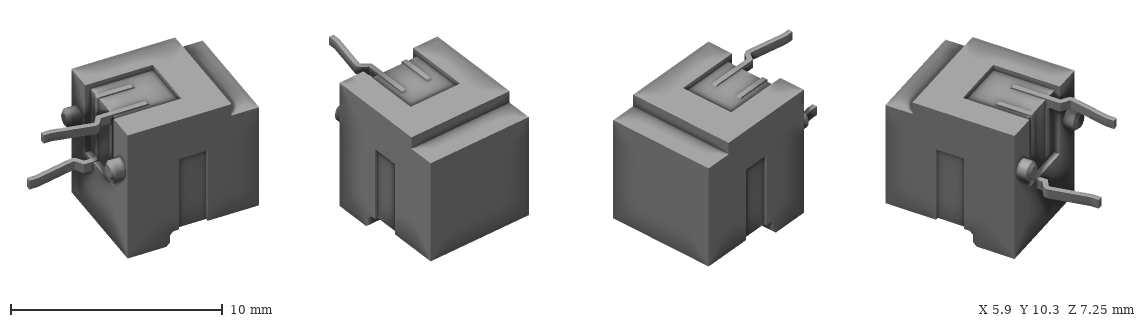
import cadquery as cq
import math


body_width = 5.9
body_height = 7.25
overall_length = 10.35
lead_reach = 3.39
body_length = overall_length - lead_reach
rear_step_length = 1.46
rear_step_drop = 0.67
foot_length = 2.24
foot_height = 0.8
foot_chamfer = 0.19

peg_diameter = 1.0
peg_length = 0.69
peg_chamfer = 0.17
peg_offset = 2.3
peg_height = body_height - 2.31

recess_depth = 0.17
recess_start = 2.72
recess_length = 1.51
recess_top = peg_height

step_width = 2.98
step_length = 3.58
step_bottom = body_height - 3.96
step_top_depth = 0.32
step_front_depth = 0.3
step_top = body_height - step_top_depth

lead_thickness = 0.26
lead_inner_x = 0.62
strip_rise = 0.09
strip_back = 2.2
strip_back_taper = 0.09
right_foot_bottom = body_height - 3.75
right_foot_taper = 0.12
strip_top = step_top + strip_rise
strip_front = step_front_depth - strip_rise
right_lead_height = 0.49
left_lead_height = 0.52
left_lead_top = body_height - 3.9
right_root_radius = 0.19
left_root_radius = 0.09

first_bend = 0.51
elbow_x = 1.07
elbow_reach = 0.81
last_bend = 2.95
elbow_inner_radius = 0.1


def housing():
    outline = (
        cq.Workplane("YZ")
        .polyline([
            (0, 0),
            (foot_length - foot_chamfer, 0),
            (foot_length, foot_chamfer),
            (foot_length, foot_height - foot_chamfer),
            (foot_length + foot_chamfer, foot_height),
            (body_length, foot_height),
            (body_length, body_height - rear_step_drop),
            (body_length - rear_step_length, body_height - rear_step_drop),
            (body_length - rear_step_length, body_height),
            (0, body_height),
        ])
        .close()
    )
    return outline.extrude(body_width / 2, both=True)


def box(x_range, y_range, z_range):
    """Box spanning the given (low, high) ranges."""
    size = [high - low for low, high in (x_range, y_range, z_range)]
    corner = (x_range[0], y_range[0], z_range[0])
    return cq.Workplane("XY").box(*size, centered=False).translate(corner)


def side_recess(side):
    inner = side * (body_width / 2 - recess_depth)
    outer = side * body_width / 2
    return box(
        sorted((inner, outer)),
        (recess_start, recess_start + recess_length),
        (0, recess_top),
    )


def corner_step():
    """L-shaped cut over the top and front faces."""
    half = step_width / 2
    over_top = box((-half, half), (0, step_length), (step_top, body_height))
    down_front = box((-half, half), (0, step_front_depth), (step_bottom, body_height))
    return over_top.union(down_front)


def peg(side):
    return (
        cq.Workplane("XZ", origin=(side * peg_offset, 0, peg_height))
        .circle(peg_diameter / 2)
        .extrude(peg_length)
        .faces("<Y")
        .chamfer(peg_chamfer)
    )


def bent_lead(side, bottom, height):
    """Flat lead of constant thickness, bowed outward in front of the housing."""
    bow_slope = math.atan2(elbow_reach - first_bend, elbow_x - lead_inner_x)
    return_slope = math.atan2(elbow_x - lead_inner_x, last_bend - elbow_reach)
    first_turn = math.pi / 2 - bow_slope
    elbow_turn = first_turn + return_slope

    outer_x = lead_inner_x + lead_thickness
    outer_first = first_bend - lead_thickness * math.tan(first_turn / 2)
    outer_last = last_bend + lead_thickness * math.tan(return_slope / 2)
    elbow_mitre = lead_thickness / math.cos(elbow_turn / 2)
    mitre_angle = (math.pi / 2 - bow_slope - return_slope) / 2
    outer_elbow_x = elbow_x + elbow_mitre * math.cos(mitre_angle)
    outer_elbow_reach = elbow_reach - elbow_mitre * math.sin(mitre_angle)

    plan = [
        (lead_inner_x, -step_front_depth),
        (lead_inner_x, first_bend),
        (elbow_x, elbow_reach),
        (lead_inner_x, last_bend),
        (lead_inner_x, lead_reach),
        (outer_x, lead_reach),
        (outer_x, outer_last),
        (outer_elbow_x, outer_elbow_reach),
        (outer_x, outer_first),
        (outer_x, -step_front_depth),
    ]
    lead = (
        cq.Workplane("XY", origin=(0, 0, bottom))
        .polyline([(side * x, -reach) for x, reach in plan])
        .close()
        .extrude(height)
    )

    def elbow_edge(x, reach):
        point = (side * x, -reach, bottom + height / 2)
        return cq.selectors.NearestToPointSelector(point)

    lead = lead.edges(elbow_edge(elbow_x, elbow_reach)).fillet(elbow_inner_radius)
    outer_radius = elbow_inner_radius + lead_thickness
    return lead.edges(elbow_edge(outer_elbow_x, outer_elbow_reach)).fillet(outer_radius)


def on_lead(side, profile):
    """Closed (Y, Z) profile extruded over the thickness of the lead on that side."""
    start = lead_inner_x if side > 0 else -lead_inner_x - lead_thickness
    return profile.extrude(lead_thickness).translate((start, 0, 0))


def contact_strip(side, foot_bottom, foot_taper):
    """Low rib along the top of the step, round its corner and down its front."""
    profile = (
        cq.Workplane("YZ")
        .moveTo(strip_back, step_top)
        .lineTo(strip_back - strip_back_taper, strip_top)
        .lineTo(step_front_depth, strip_top)
        .radiusArc((strip_front, step_top), -strip_rise)
        .lineTo(strip_front, foot_bottom + foot_taper)
        .lineTo(step_front_depth, foot_bottom)
        .lineTo(step_front_depth, step_top)
        .close()
    )
    return on_lead(side, profile)


def root_fillet(side, lead_face, radius, direction):
    """Concave fillet above (+1) or below (-1) a lead where it leaves its strip."""
    profile = (
        cq.Workplane("YZ")
        .moveTo(strip_front, lead_face)
        .lineTo(strip_front - radius, lead_face)
        .radiusArc((strip_front, lead_face + direction * radius), -direction * radius)
        .close()
    )
    return on_lead(side, profile)


result = housing().cut(corner_step())
for side in (-1, 1):
    result = result.cut(side_recess(side)).union(peg(side))

right_lead_bottom = strip_top - right_lead_height
result = (
    result
    .union(contact_strip(1, right_foot_bottom, right_foot_taper))
    .union(bent_lead(1, right_lead_bottom, right_lead_height))
    .union(root_fillet(1, right_lead_bottom, right_root_radius, -1))
)

left_lead_bottom = left_lead_top - left_lead_height
result = (
    result
    .union(contact_strip(-1, step_bottom, 0))
    .union(bent_lead(-1, left_lead_bottom, left_lead_height))
    .union(root_fillet(-1, left_lead_top, left_root_radius, 1))
)